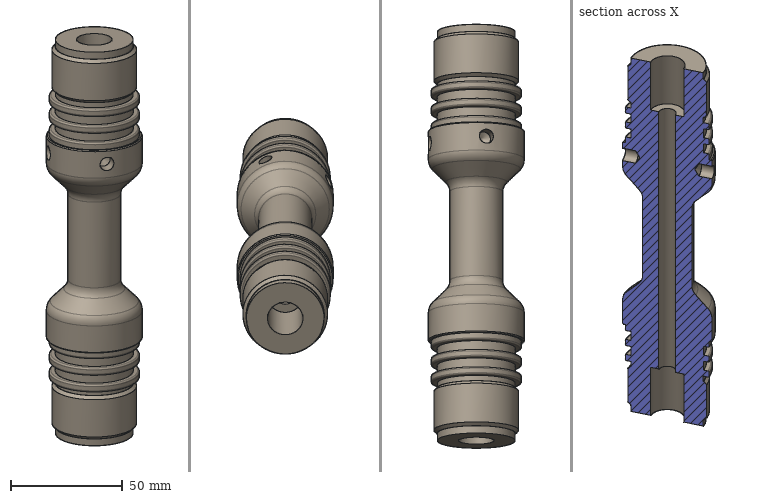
import cadquery as cq
import math

total_length = 187.22
half_length = total_length / 2

neck_radius = 34.92 / 2
land_radius = 38.1 / 2
groove_radius = 35.2 / 2
ring_radius = 40.59 / 2
collar_radius = 43.18 / 2
shank_radius = 23.88 / 2

neck_end = 3.33
land_chamfer = land_radius - groove_radius
land_end = 22.52
first_ring_start = 26.4
ring_pitch = 7.9375
ring_width = 3.5
ring_edge_round = 0.75
free_ring_count = 2
collar_start = 45.4
collar_chamfer = 0.5
collar_end = 58.48

blend_radius = 6.15
cone_angle = math.radians(45)
blend_axial = blend_radius * math.sin(cone_angle)
blend_radial = blend_radius * (1 - math.cos(cone_angle))
cone_rise = collar_radius - shank_radius - 2 * blend_radial
cone_start = collar_end + blend_axial
cone_end = cone_start + cone_rise / math.tan(cone_angle)
shank_start = cone_end + blend_axial

bore_diameter = 7.95
counterbore_diameter = 15.88
counterbore_depth = 25.4

drill_diameter = 6.35
drill_from_end = 52.0
drill_depth = 6.35
drill_count = 4
drill_point_angle = math.radians(118)


def end_outline():
    """Points (radius, distance from the end face) from the end face to the collar blend."""
    points = [
        (0, 0),
        (neck_radius, 0),
        (neck_radius, neck_end),
        (groove_radius, neck_end),
        (land_radius, neck_end + land_chamfer),
        (land_radius, land_end),
        (groove_radius, land_end + land_chamfer),
        (neck_radius, land_end + land_chamfer),
        (neck_radius, first_ring_start),
        (groove_radius, first_ring_start),
        (groove_radius, collar_start),
        (collar_radius - collar_chamfer, collar_start),
        (collar_radius, collar_start + collar_chamfer),
        (collar_radius, collar_end),
    ]
    return points


def turned_body():
    """Revolve one outline, symmetric about the middle of the shank."""
    upper = [(radius, half_length - distance) for radius, distance in end_outline()]
    lower = [(radius, -z) for radius, z in reversed(upper)]
    cone_top = (collar_radius - blend_radial, half_length - cone_start)
    cone_bottom = (shank_radius + blend_radial, half_length - cone_end)
    shank_top = (shank_radius, half_length - shank_start)

    outline = (
        cq.Workplane("XZ")
        .polyline(upper)
        .radiusArc(cone_top, blend_radius)
        .lineTo(*cone_bottom)
        .radiusArc(shank_top, -blend_radius)
        .lineTo(shank_top[0], -shank_top[1])
        .radiusArc((cone_bottom[0], -cone_bottom[1]), -blend_radius)
        .lineTo(cone_top[0], -cone_top[1])
        .radiusArc(lower[0], blend_radius)
    )
    for radius, z in lower[1:]:
        outline = outline.lineTo(radius, z)
    return outline.close().revolve(360, (0, 0, 0), (0, 1, 0))


def upper_seal_rings():
    """Rings between the grooves of the upper end; the last one runs into the collar."""
    rings = cq.Workplane("XY")
    for index in range(free_ring_count):
        ring_start = first_ring_start + index * ring_pitch
        rings = rings.union(
            cq.Workplane("XY", origin=(0, 0, half_length - ring_start))
            .circle(ring_radius)
            .extrude(-ring_width)
            .edges()
            .fillet(ring_edge_round)
        )
    last_ring_start = first_ring_start + free_ring_count * ring_pitch
    last_ring = (
        cq.Workplane("XY", origin=(0, 0, half_length - last_ring_start))
        .circle(ring_radius)
        .extrude(last_ring_start - collar_start)
        .edges(">Z")
        .fillet(ring_edge_round)
    )
    return rings.union(last_ring)


def axial_bores():
    """Through bore plus the two counterbores."""
    bores = cq.Workplane("XY").circle(bore_diameter / 2).extrude(half_length, both=True)
    for side in (1, -1):
        end_face = cq.Workplane("XY", origin=(0, 0, side * half_length))
        counterbore = end_face.circle(counterbore_diameter / 2).extrude(-side * counterbore_depth)
        bores = bores.union(counterbore)
    return bores


def drilled_hole():
    """Blind drilled hole entering along +X from the -X side, ending in a drill point."""
    drill_radius = drill_diameter / 2
    point_length = drill_radius / math.tan(drill_point_angle / 2)
    shoulder = -collar_radius + drill_depth
    return (
        cq.Workplane("XY")
        .moveTo(-collar_radius - drill_radius, 0)
        .lineTo(shoulder + point_length, 0)
        .lineTo(shoulder, drill_radius)
        .lineTo(-collar_radius - drill_radius, drill_radius)
        .close()
        .revolve(360, (0, 0, 0), (1, 0, 0))
        .translate((0, 0, half_length - drill_from_end))
    )


upper_rings = upper_seal_rings()
lower_rings = upper_rings.mirror("XY")
result = turned_body().union(upper_rings).union(lower_rings).cut(axial_bores())
for index in range(drill_count):
    result = result.cut(drilled_hole().rotate((0, 0, 0), (0, 0, 1), index * 360 / drill_count))